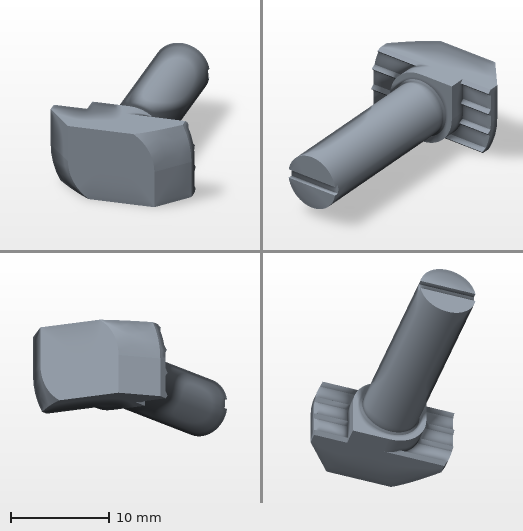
import cadquery as cq
import math

total_length = 25.0
head_height = 7.9
half_height = head_height / 2

shank_radius = 3.0
shank_flare = 0.2
slot_width = 1.0
slot_depth = 0.5

collar_back = 6.5

half_span = 7.5
wing_corner_radius = 8.5
wing_back = 4.6

front_half_width = 4.6
bevel_depth = 3.5

ridge_count = 4
ridge_pitch = 2.4
ridge_height = 0.4
ridge_half_width = 0.38


def xz_plane(y):
    """Sketch plane at height y along the axis, extruding towards +Y."""
    return cq.Workplane(cq.Plane(origin=(0, y, 0), xDir=(1, 0, 0), normal=(0, 1, 0)))


def twist_lock_prism(half_width, corner_radius, length):
    """Bar with two square corners and, diagonally opposite, two rounded ones."""
    arc_centre = half_width - corner_radius

    def arc_x(z):
        return arc_centre + math.sqrt(corner_radius**2 - z**2)

    tip_x = arc_x(half_height)
    middle_z = half_height / 2
    middle_x = arc_x(middle_z)
    return (
        xz_plane(0)
        .moveTo(half_width, 0)
        .lineTo(half_width, half_height)
        .lineTo(-tip_x, half_height)
        .threePointArc((-middle_x, middle_z), (-half_width, 0))
        .lineTo(-half_width, -half_height)
        .lineTo(tip_x, -half_height)
        .threePointArc((middle_x, -middle_z), (half_width, 0))
        .close()
        .extrude(length)
    )


def bevel_envelope(depth):
    """Tapered space bounded by flats at the square corners and a cone at the round ones."""
    slope = (half_span - front_half_width) / bevel_depth
    back_half_width = front_half_width + slope * depth
    trapezoid = (
        cq.Workplane("XY")
        .polyline([
            (0, 0),
            (front_half_width, 0),
            (back_half_width, depth),
            (0, depth),
        ])
        .close()
    )
    cone = trapezoid.revolve(360, (0, 0, 0), (0, 1, 0))
    right_flat = trapezoid.toPending().extrude(-half_height)
    left_flat = right_flat.rotate((0, 0, 0), (0, 1, 0), 180)
    return cone.union(right_flat).union(left_flat)


def wing_ridges():
    """V-shaped ridges running along X, slightly sunk into the wings."""
    ridges = cq.Workplane("XY")
    ridge_tip = wing_back + ridge_height
    for index in range(ridge_count):
        z = (index - (ridge_count - 1) / 2) * ridge_pitch
        ridge = (
            cq.Workplane("YZ")
            .polyline([
                (bevel_depth, z - ridge_half_width),
                (wing_back, z - ridge_half_width),
                (ridge_tip, z),
                (wing_back, z + ridge_half_width),
                (bevel_depth, z + ridge_half_width),
            ])
            .close()
            .extrude(half_span, both=True)
        )
        ridges = ridges.add(ridge)
    return ridges.combine()


def wings():
    slab = cq.Workplane("XY").box(
        2 * half_span, wing_back, head_height, centered=(True, False, True)
    )
    outline = twist_lock_prism(half_span, wing_corner_radius, collar_back)
    return slab.union(wing_ridges()).intersect(outline).intersect(bevel_envelope(collar_back))


def collar():
    return twist_lock_prism(half_height, half_height, collar_back)


def shank():
    flare_end = collar_back + shank_flare
    rod = (
        cq.Workplane("XY")
        .polyline([
            (0, collar_back),
            (shank_radius + shank_flare, collar_back),
            (shank_radius, flare_end),
            (shank_radius, total_length),
            (0, total_length),
        ])
        .close()
        .revolve(360, (0, 0, 0), (0, 1, 0))
    )
    slot = cq.Workplane("XY").box(2 * shank_radius, 2 * slot_depth, slot_width)
    return rod.cut(slot.translate((0, total_length, 0)))


result = wings().union(collar()).union(shank())